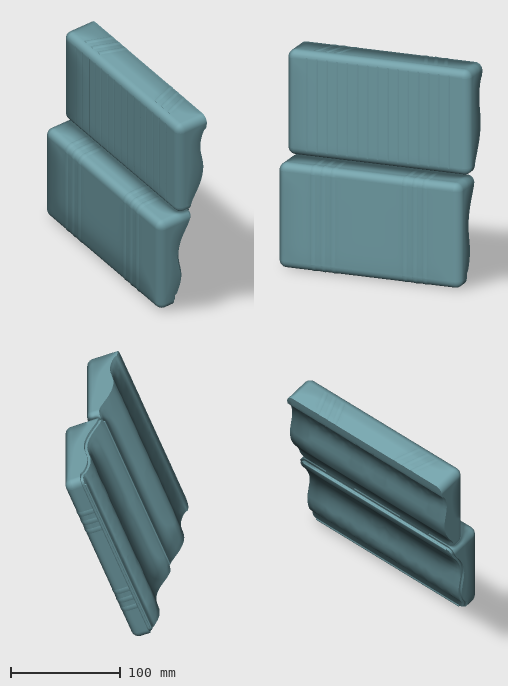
import cadquery as cq
import math

width = 180.0
shell_height = 99.7
edge_radius = 7.0
hinge_gap = 2.0
upper_front = -13.4
lower_front = -34.4

wave_rise = 18.5
wave_points = [
    (0.0, 0.0),
    (0.8, 8.0),
    (8.0, 22.7),
    (14.4, 47.3),
    (11.5, 75.7),
    (16.2, 87.8),
    (wave_rise, 97.1),
]

lip_height = 2.5
lip_inset = 2.2
bead_radius = 0.8
bead_standoff = 0.5

strap_width = 32.8
strap_offset = 43.3
strap_thickness = 1.0
strap_overlap = 1.0
crease_width = 0.8
crease_depth = 0.5

rib_width = 5.0
rib_rise = 0.5
rib_root = 1.0
rib_pitch = 10.0
ribs_per_group = 3
rib_group_offset = 45.1
rib_hinge_clearance = 7.3
slant_angle = 20.7

groove_count = 15
groove_span = 140.0
groove_width = 2.2
groove_depth = 0.2
groove_pitch = groove_span / (groove_count - 1)

upper_bottom = hinge_gap / 2
upper_top = upper_bottom + shell_height
lower_top = -upper_bottom
lower_bottom = -upper_top
margin = 4.0
back_limit = wave_rise + margin
body_width = width + 2 * margin
SIDES = (-1, 1)


def box(x_size, y_range, z_range):
    """Box centred on X that fills the given Y and Z ranges."""
    (y_min, y_max), (z_min, z_max) = y_range, z_range
    block = cq.Workplane("XY").box(x_size, y_max - y_min, z_max - z_min, centered=(True, False, False))
    return block.translate((0, y_min, z_min))


def centred_row(count, pitch):
    """Evenly spaced positions about zero."""
    return [(i - (count - 1) / 2) * pitch for i in range(count)]


def rounded_block(y_front, z_min, z_max):
    """Block with every edge rounded except those of its back face."""
    block = box(width, (y_front, back_limit), (z_min, z_max))
    return block.edges("|Y or <Y").fillet(edge_radius)


def wave_body(y_front):
    """Everything above the hinge axis that lies in front of the upper parting surface."""
    top = upper_top + margin
    return (
        cq.Workplane("YZ")
        .moveTo(*wave_points[0])
        .spline(wave_points[1:], tangents=[(0, 1), (0, 1)], includeCurrent=True)
        .lineTo(wave_rise, top)
        .lineTo(y_front, top)
        .lineTo(y_front, 0)
        .close()
        .extrude(body_width / 2, both=True)
    )


def rib_section(x, y, z):
    """Rib section facing along Y, sunk a little below the surface it stands on."""
    half = rib_width / 2
    return (
        cq.Workplane("XZ", origin=(x, y, z))
        .moveTo(-half, -rib_root)
        .lineTo(-half, 0)
        .threePointArc((0, rib_rise), (half, 0))
        .lineTo(half, -rib_root)
        .close()
    )


def rib_positions(side):
    """X positions of the ribs in the group on one side."""
    return [side * rib_group_offset + x for x in centred_row(ribs_per_group, rib_pitch)]


def wrapped_rib(x):
    """Rib running over the top, front and bottom of the lower shell."""
    r = edge_radius
    arc_inset = r * (1 - math.sqrt(0.5))
    y_tangent = lower_front + r
    y_arc = lower_front + arc_inset
    path = (
        cq.Workplane("YZ", origin=(x, 0, 0))
        .moveTo(-rib_hinge_clearance, lower_top)
        .lineTo(y_tangent, lower_top)
        .threePointArc((y_arc, lower_top - arc_inset), (lower_front, lower_top - r))
        .lineTo(lower_front, lower_bottom + r)
        .threePointArc((y_arc, lower_bottom + arc_inset), (y_tangent, lower_bottom))
        .lineTo(back_limit, lower_bottom)
    )
    return rib_section(x, -rib_hinge_clearance, lower_top).sweep(path)


def slanted_rib(x, side):
    """Rib on the top of the upper shell, leaning outward toward the front rounding."""
    y_end = upper_front + edge_radius
    lean = side * (wave_rise - y_end) * math.tan(math.radians(slant_angle))
    path = (
        cq.Workplane("XY", origin=(x, 0, upper_top))
        .moveTo(0, wave_rise)
        .lineTo(lean, y_end)
    )
    return rib_section(x, wave_rise, upper_top).sweep(path)


def grip_groove(x):
    """Cylinder that dips into the upper front face by the groove depth."""
    radius = (groove_width**2 / 4 + groove_depth**2) / (2 * groove_depth)
    y_axis = upper_front + groove_depth - radius
    return cq.Workplane("XY", origin=(x, y_axis, 0)).circle(radius).extrude(upper_top)


def upper_shell():
    shell = rounded_block(upper_front, upper_bottom, upper_top)
    shell = shell.intersect(wave_body(upper_front - margin))
    for side in SIDES:
        for x in rib_positions(side):
            shell = shell.union(slanted_rib(x, side))
    for x in centred_row(groove_count, groove_pitch):
        shell = shell.cut(grip_groove(x))
    return shell


def lip(behind_wave):
    """Inset block that ends a lip height behind the parting surface of the lower shell."""
    y_range = (lower_front + edge_radius, back_limit)
    block = box(width - 2 * lip_inset, y_range, (lower_bottom + lip_inset, lower_top - lip_inset))
    block = block.edges("|Y").fillet(edge_radius - lip_inset)
    return block.cut(behind_wave.translate((0, lip_height, 0)))


def lip_bead(y, z):
    """Round bead along the straight part of a lip edge."""
    length = width - 2 * edge_radius
    return cq.Workplane("YZ", origin=(0, y, z)).circle(bead_radius).extrude(length / 2, both=True)


def lower_shell():
    shell = rounded_block(lower_front, lower_bottom, lower_top)
    for side in SIDES:
        for x in rib_positions(side):
            shell = shell.union(wrapped_rib(x))
    behind_wave = wave_body(-back_limit - margin).rotate((0, 0, 0), (1, 0, 0), 180)
    shell = shell.cut(behind_wave).union(lip(behind_wave))
    bead_y = lip_height + bead_standoff
    top_bead = lip_bead(bead_y, lower_top - lip_inset)
    bottom_bead = lip_bead(bead_y - wave_rise, lower_bottom + lip_inset)
    return shell.union(top_bead).union(bottom_bead)


def hinge_strap(x):
    """Thin strap joining both shells, creased across the middle of its front face."""
    reach = hinge_gap / 2 + strap_overlap
    strap = box(strap_width, (-strap_thickness, 0), (-reach, reach))
    crease = (
        cq.Workplane("YZ")
        .moveTo(-strap_thickness, -crease_width / 2)
        .lineTo(-strap_thickness + crease_depth, 0)
        .lineTo(-strap_thickness, crease_width / 2)
        .close()
        .extrude(strap_width / 2, both=True)
    )
    return strap.cut(crease).translate((x, 0, 0))


result = upper_shell().union(lower_shell())
for side in SIDES:
    result = result.union(hinge_strap(side * strap_offset))